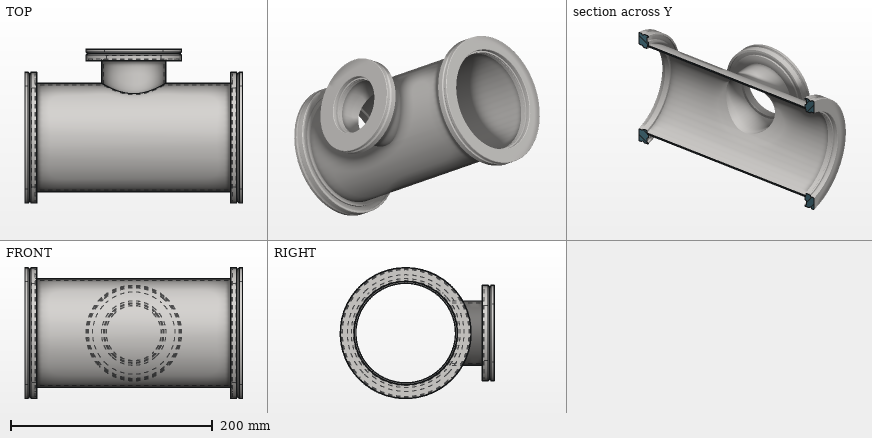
import cadquery as cq

run_length = 216.0
run_pipe_radius = 54.0
run_flange_radius = 65.0
run_claw_groove_inner = 57.9
run_claw_groove_outer = 62.9

branch_reach = 88.0
branch_pipe_radius = 32.0
branch_flange_radius = 47.5
branch_claw_groove_inner = 40.8
branch_claw_groove_outer = 45.0

pipe_wall = 2.0

flange_thickness = 12.0
edge_chamfer = 0.5
claw_groove_depth = 2.0
rim_groove_start = 3.2
rim_groove_depth = 1.5
recess_depth = 4.8
lip_step_depth = 6.5
socket_floor_depth = 10.5

recess_inset = 3.0
lip_front_inset = 4.5
lip_back_inset = 4.8


def rim_groove_cutter(outer_radius, cone_in_front):
    """Ring that cuts the rim groove: one 45 degree flank and one concave quarter-round flank."""
    front = -rim_groove_start
    middle = front - rim_groove_depth
    back = middle - rim_groove_depth
    if cone_in_front:
        cone_start, round_end, arc_radius = front, back, -rim_groove_depth
    else:
        cone_start, round_end, arc_radius = back, front, rim_groove_depth
    section = (
        cq.Workplane("XZ")
        .moveTo(outer_radius, cone_start)
        .lineTo(outer_radius - rim_groove_depth, middle)
        .radiusArc((outer_radius, round_end), arc_radius)
        .close()
    )
    return section.revolve(360, (0, 0, 0), (0, 1, 0))


def make_flange(outer_radius, pipe_radius, claw_inner, claw_outer, cone_in_front):
    """Flange about Z: sealing face at Z = 0, pipe socket and claw groove opening toward -Z."""
    recess_radius = pipe_radius - recess_inset
    lip_front_radius = pipe_radius - lip_front_inset
    lip_back_radius = pipe_radius - lip_back_inset
    claw_floor = claw_groove_depth - flange_thickness
    section = [
        (recess_radius + edge_chamfer, 0),
        (outer_radius - edge_chamfer, 0),
        (outer_radius, -edge_chamfer),
        (outer_radius, edge_chamfer - flange_thickness),
        (outer_radius - edge_chamfer, -flange_thickness),
        (claw_outer, -flange_thickness),
        (claw_outer, claw_floor),
        (claw_inner, claw_floor),
        (claw_inner, -flange_thickness),
        (pipe_radius, -flange_thickness),
        (pipe_radius, -socket_floor_depth),
        (lip_back_radius, -socket_floor_depth),
        (lip_back_radius, -lip_step_depth),
        (lip_front_radius, -lip_step_depth),
        (lip_front_radius, -recess_depth),
        (recess_radius, -recess_depth),
        (recess_radius, -edge_chamfer),
    ]
    blank = cq.Workplane("XZ").polyline(section).close().revolve(360, (0, 0, 0), (0, 1, 0))
    return blank.cut(rim_groove_cutter(outer_radius, cone_in_front))


def make_tee():
    """Run pipe and branch pipe as one tube, each end seated on a flange socket floor."""
    run_half = run_length / 2 - socket_floor_depth
    branch_end = branch_reach - socket_floor_depth

    def run_cylinder(radius):
        return cq.Workplane("YZ").circle(radius).extrude(run_half, both=True)

    def branch_cylinder(radius):
        return cq.Workplane("XZ").circle(radius).extrude(-branch_end)

    outside = run_cylinder(run_pipe_radius).union(branch_cylinder(branch_pipe_radius))
    run_bore = run_cylinder(run_pipe_radius - pipe_wall)
    branch_bore = branch_cylinder(branch_pipe_radius - pipe_wall)
    return outside.cut(run_bore).cut(branch_bore)


def place(flange, position, direction):
    """Move a flange so its sealing face sits at position and faces along direction."""
    end_plane = cq.Plane(origin=position, xDir=(0, 0, 1), normal=direction)
    return flange.val().moved(cq.Location(end_plane))


tee = make_tee()

run_flange = make_flange(
    run_flange_radius, run_pipe_radius, run_claw_groove_inner, run_claw_groove_outer, cone_in_front=True
)
run_flanges = []
for side in (-1, 1):
    run_flanges.append(place(run_flange, (side * run_length / 2, 0, 0), (side, 0, 0)))

branch_flange = place(
    make_flange(
        branch_flange_radius,
        branch_pipe_radius,
        branch_claw_groove_inner,
        branch_claw_groove_outer,
        cone_in_front=False,
    ),
    (0, branch_reach, 0),
    (0, 1, 0),
)

result = cq.Compound.makeCompound([tee.val(), *run_flanges, branch_flange])